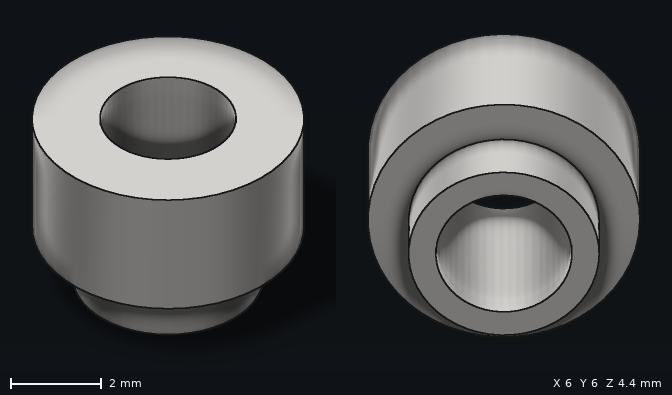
import cadquery as cq

head_diameter = 6.0
head_height = 3.0
spigot_diameter = 4.2
total_height = 4.4
bore_diameter = 3.0

spigot_height = total_height - head_height

spigot = cq.Workplane("XY").circle(spigot_diameter / 2).extrude(spigot_height)

head = (
    cq.Workplane("XY")
    .workplane(offset=spigot_height)
    .circle(head_diameter / 2)
    .extrude(head_height)
)

bore = cq.Workplane("XY").circle(bore_diameter / 2).extrude(total_height)

result = spigot.union(head).cut(bore)